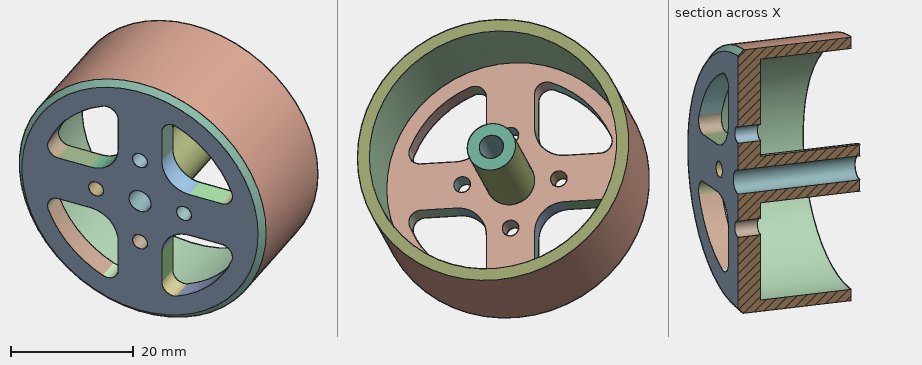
import cadquery as cq
import math

wheel_diameter = 45.0
wheel_width = 20.0
chamfer_size = 1.0
bore_diameter = 41.0
window_outer_radius = 18.0
plate_thickness = 4.0
hub_diameter = 8.0
hub_overhang = 1.55
axle_diameter = 4.0
screw_diameter = 2.7
screw_circle_radius = 8.0
spoke_width = 8.0
window_inner_fillet = 5.0
window_outer_fillet = 2.0
spoke_count = 4

hub_end = wheel_width + hub_overhang


def cylinder(diameter, start, end):
    """Solid cylinder on the wheel axis between two Y positions."""
    return (
        cq.Workplane("XZ", origin=(0, start, 0))
        .circle(diameter / 2)
        .extrude(start - end)
    )


def make_window():
    """Rounded quarter-circle cutter in the +X, +Z quadrant, through the plate."""
    edge = spoke_width / 2
    reach = math.sqrt(window_outer_radius**2 - edge**2)
    middle = window_outer_radius * math.sqrt(0.5)
    window = (
        cq.Workplane("XZ")
        .moveTo(edge, edge)
        .lineTo(reach, edge)
        .threePointArc((middle, middle), (edge, reach))
        .close()
        .extrude(-plate_thickness)
    )
    inner_corner = cq.selectors.NearestToPointSelector((edge, plate_thickness / 2, edge))
    window = window.edges("|Y").edges(inner_corner).fillet(window_inner_fillet)
    for x, z in [(reach, edge), (edge, reach)]:
        outer_corner = cq.selectors.NearestToPointSelector((x, plate_thickness / 2, z))
        window = window.edges("|Y").edges(outer_corner).fillet(window_outer_fillet)
    return window


wheel = cylinder(wheel_diameter, 0, wheel_width).faces("<Y").chamfer(chamfer_size)
wheel = wheel.cut(cylinder(bore_diameter, plate_thickness, wheel_width))
wheel = wheel.union(cylinder(hub_diameter, 0, hub_end))

wheel = wheel.cut(cylinder(axle_diameter, 0, hub_end))

window = make_window()
screw_hole = cylinder(screw_diameter, 0, plate_thickness).translate((screw_circle_radius, 0, 0))
for index in range(spoke_count):
    angle = index * 360 / spoke_count
    wheel = wheel.cut(window.rotate((0, 0, 0), (0, 1, 0), angle))
    wheel = wheel.cut(screw_hole.rotate((0, 0, 0), (0, 1, 0), angle))

result = wheel